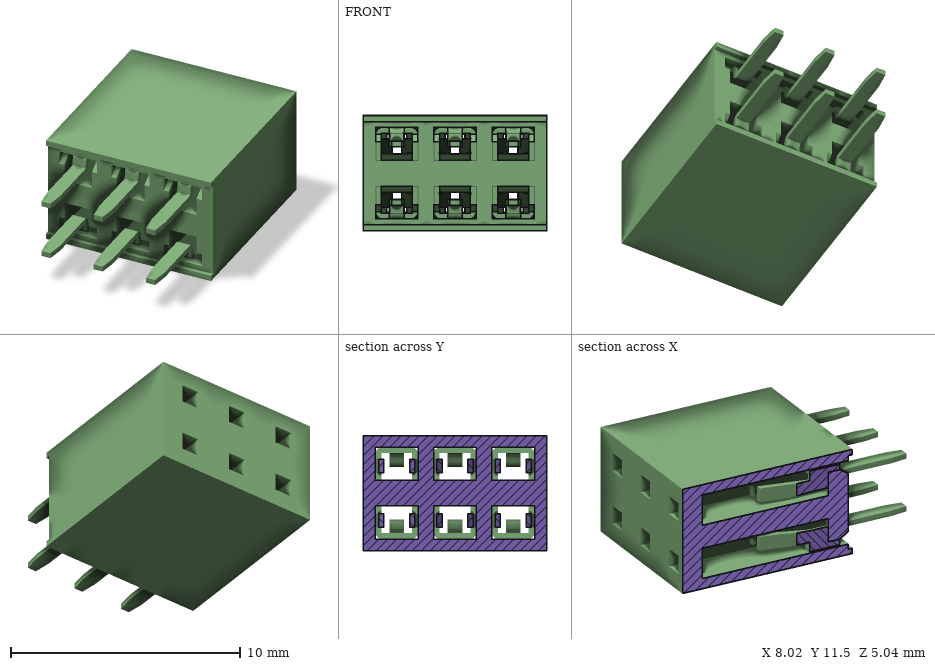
import cadquery as cq
import math


PITCH = 2.54
COLUMNS = (-1, 0, 1)
ROWS = (-1, 1)
SIDES = (-1, 1)

HOUSING_WIDTH = 8.02
HOUSING_HEIGHT = 5.04
HOUSING_DEPTH = 8.3
LIP_LENGTH = 0.2
LIP_HEIGHT = 0.28

CAVITY_WIDTH = 1.85
CAVITY_FLOOR = 0.56
CAVITY_CEILING = 2.0
END_WALL = 1.0
MATING_HOLE = 0.86

LEDGE_LENGTH = 1.04
LEDGE_SLOPE_LENGTH = 0.44
LEDGE_FRONT_TOP = 1.38
LEDGE_BACK_TOP = 1.69

STRIP = 0.25
TAIL_PROJECTION = 3.0
TAIL_WIDTH = 0.64
TIP_WIDTH = 0.44
TIP_LENGTH = 0.78
BEND_INNER_RADIUS = 0.05
BEND_ANGLE = 81
BEND_START = 0.03
CHANNEL_LENGTH = 1.52
CHANNEL_CORNER_RADIUS = 0.29

BEAM_TOP = 1.5
BEAM_ROOT_BOTTOM = 0.92
BEAM_TIP_BOTTOM = 0.84
BEAM_SLOPE_LENGTH = 1.38
BEAM_LENGTH = 2.3
CONTACT_GAP = 0.41

TAIL_HEIGHT = PITCH / 2
LEDGE_WIDTH = STRIP
CHANNEL_INSIDE_WIDTH = CAVITY_WIDTH - 2 * STRIP
CAVITY_HEIGHT = CAVITY_CEILING - CAVITY_FLOOR
CAVITY_DEPTH = HOUSING_DEPTH - END_WALL
CHANNEL_FRONT = LEDGE_SLOPE_LENGTH
CHANNEL_BACK = CHANNEL_FRONT + CHANNEL_LENGTH
BASE_HEIGHT = CAVITY_CEILING - STRIP / 2


def block(width, depth, height, x, front, bottom):
    """A block centred on x that starts at Y = front and Z = bottom."""
    return (
        cq.Workplane("XY")
        .box(width, depth, height, centered=(True, False, False))
        .translate((x, front, bottom))
    )


def facing(row, shape):
    """A shape made for the upper row, flipped when the row is the lower one."""
    return shape if row > 0 else shape.mirror("XY")




def ledge(side):
    """A ledge in the lower corner of a cavity mouth, its top sloping up to a level part at the back."""
    outline = [
        (0, CAVITY_FLOOR),
        (LEDGE_LENGTH, CAVITY_FLOOR),
        (LEDGE_LENGTH, LEDGE_BACK_TOP),
        (LEDGE_SLOPE_LENGTH, LEDGE_BACK_TOP),
        (0, LEDGE_FRONT_TOP),
    ]
    center = side * (CAVITY_WIDTH - LEDGE_WIDTH) / 2
    return (
        cq.Workplane("YZ", origin=(center, 0, 0))
        .polyline(outline)
        .close()
        .extrude(LEDGE_WIDTH / 2, both=True)
    )


def cavity():
    """The space for one terminal, with a square hole for a mating pin."""
    space = block(CAVITY_WIDTH, CAVITY_DEPTH, CAVITY_HEIGHT, 0, 0, CAVITY_FLOOR)
    hole = block(MATING_HOLE, HOUSING_DEPTH, MATING_HOLE, 0, 0, TAIL_HEIGHT - MATING_HOLE / 2)
    return space.union(hole)


def make_housing():
    body = block(HOUSING_WIDTH, HOUSING_DEPTH, HOUSING_HEIGHT, 0, 0, -HOUSING_HEIGHT / 2)
    lip_depth = HOUSING_DEPTH + LIP_LENGTH
    lip = block(HOUSING_WIDTH, lip_depth, LIP_HEIGHT, 0, -LIP_LENGTH, HOUSING_HEIGHT / 2 - LIP_HEIGHT)
    for row in ROWS:
        body = body.union(facing(row, lip))
    for row in ROWS:
        for column in COLUMNS:
            body = body.cut(facing(row, cavity()).translate((column * PITCH, 0, 0)))
    for row in ROWS:
        for column in COLUMNS:
            for side in SIDES:
                post = facing(row, ledge(side)).translate((column * PITCH, 0, 0))
                body = body.union(post, clean=False)
    return body




def tail():
    """The tapered solder tail and the double bend that lifts it to the base of the channel."""
    angle = math.radians(BEND_ANGLE)
    radius = BEND_INNER_RADIUS + STRIP / 2
    arc_run = radius * math.sin(angle)
    arc_rise = radius * (1 - math.cos(angle))
    half_run = radius * math.sin(angle / 2)
    half_rise = radius * (1 - math.cos(angle / 2))
    riser_rise = BASE_HEIGHT - TAIL_HEIGHT - 2 * arc_rise
    riser_run = riser_rise / math.tan(angle)
    tip = -LIP_LENGTH - TAIL_PROJECTION
    bend_end = BEND_START + riser_run + 2 * arc_run

    path = (
        cq.Workplane("YZ")
        .moveTo(tip, TAIL_HEIGHT)
        .lineTo(BEND_START, TAIL_HEIGHT)
        .threePointArc(
            (BEND_START + half_run, TAIL_HEIGHT + half_rise),
            (BEND_START + arc_run, TAIL_HEIGHT + arc_rise),
        )
        .line(riser_run, riser_rise)
        .threePointArc((bend_end - half_run, BASE_HEIGHT - half_rise), (bend_end, BASE_HEIGHT))
        .lineTo(CHANNEL_FRONT, BASE_HEIGHT)
    )
    strip = cq.Workplane("XZ", origin=(0, tip, TAIL_HEIGHT)).rect(TAIL_WIDTH, STRIP).sweep(path)

    plan = [
        (-TIP_WIDTH / 2, tip),
        (TIP_WIDTH / 2, tip),
        (TAIL_WIDTH / 2, tip + TIP_LENGTH),
        (TAIL_WIDTH / 2, CHANNEL_FRONT),
        (-TAIL_WIDTH / 2, CHANNEL_FRONT),
        (-TAIL_WIDTH / 2, tip + TIP_LENGTH),
    ]
    return strip.intersect(cq.Workplane("XY").polyline(plan).close().extrude(HOUSING_HEIGHT / 2))


def channel():
    """The U of base and two arms, open downwards, whose arms are notched to sit on the ledges."""
    height = CAVITY_CEILING - BEAM_ROOT_BOTTOM
    notch_length = LEDGE_LENGTH - CHANNEL_FRONT
    notch_height = LEDGE_BACK_TOP - BEAM_ROOT_BOTTOM
    outside = block(CAVITY_WIDTH, CHANNEL_LENGTH, height, 0, CHANNEL_FRONT, BEAM_ROOT_BOTTOM)
    outside = outside.edges("|Y and >Z").fillet(CHANNEL_CORNER_RADIUS)
    inside = block(
        CHANNEL_INSIDE_WIDTH, CHANNEL_LENGTH, height - STRIP, 0, CHANNEL_FRONT, BEAM_ROOT_BOTTOM
    )
    notch = block(CAVITY_WIDTH, notch_length, notch_height, 0, CHANNEL_FRONT, BEAM_ROOT_BOTTOM)
    return outside.cut(inside).cut(notch)


def beam(side):
    """A contact beam that runs inwards from the back of one arm, its lower edge falling, then level."""
    tip_end = CHANNEL_BACK + BEAM_LENGTH
    root_outside = CAVITY_WIDTH / 2
    tip_inside = CONTACT_GAP / 2
    plan = [
        (side * root_outside, CHANNEL_BACK),
        (side * (root_outside - STRIP), CHANNEL_BACK),
        (side * tip_inside, tip_end),
        (side * (tip_inside + STRIP), tip_end),
    ]
    profile = [
        (CHANNEL_BACK, BEAM_TOP),
        (CHANNEL_BACK, BEAM_ROOT_BOTTOM),
        (CHANNEL_BACK + BEAM_SLOPE_LENGTH, BEAM_TIP_BOTTOM),
        (tip_end, BEAM_TIP_BOTTOM),
        (tip_end, BEAM_TOP),
    ]
    sheet = cq.Workplane("XY").polyline(plan).close().extrude(BEAM_TOP)
    return sheet.intersect(
        cq.Workplane("YZ").polyline(profile).close().extrude(CAVITY_WIDTH, both=True)
    )


def make_terminal(column, row):
    terminal = tail().union(channel())
    for side in SIDES:
        terminal = terminal.union(beam(side))
    return facing(row, terminal).translate((column * PITCH, 0, 0))


housing = make_housing()
terminals = [make_terminal(column, row) for row in ROWS for column in COLUMNS]

result = cq.Compound.makeCompound([housing.val(), *(terminal.val() for terminal in terminals)])